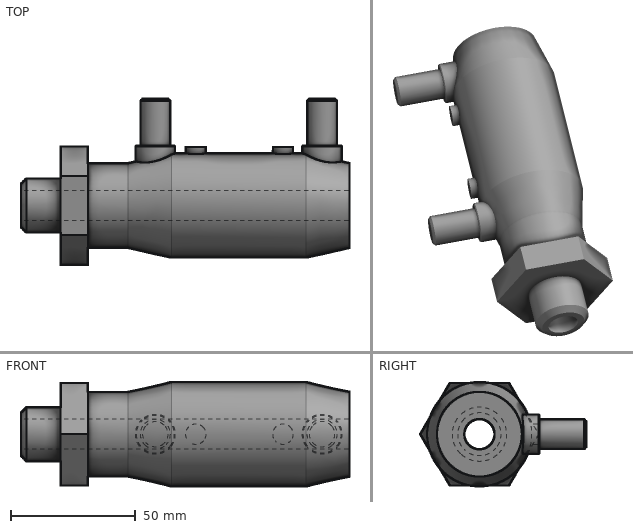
import cadquery as cq
import math

total_length = 132.0
stub_length = 16.0
hex_thickness = 11.0
body_taper_start = 43.0
barrel_start = 60.5
barrel_end = 114.5

stub_diameter = 21.8
stub_chamfer = 2.2
neck_diameter = 34.0
barrel_diameter = 42.0
bore_diameter = 12.0
hex_across_flats = 41.2

pin_diameter = 12.0
pin_tip = 42.9
pin_chamfer = 0.9
collar_diameter = 16.0
collar_top = 24.0
collar_chamfer = 0.4
pin_positions = (54.0, 120.9)
boss_diameter = 8.2
boss_top = 23.5
boss_positions = (70.2, 105.2)

stub_radius = stub_diameter / 2
neck_radius = neck_diameter / 2
barrel_radius = barrel_diameter / 2


def turned_body():
    """Revolve the stub, neck, barrel and end taper about the X axis."""
    profile = (
        cq.Workplane("XY")
        .moveTo(0, 0)
        .lineTo(0, stub_radius - stub_chamfer)
        .lineTo(stub_chamfer, stub_radius)
        .lineTo(stub_length, stub_radius)
        .lineTo(stub_length, neck_radius)
        .lineTo(body_taper_start, neck_radius)
        .lineTo(barrel_start, barrel_radius)
        .lineTo(barrel_end, barrel_radius)
        .lineTo(total_length, neck_radius)
        .lineTo(total_length, 0)
        .close()
    )
    return profile.revolve(360, (0, 0, 0), (1, 0, 0))


def hexagon_flange():
    """Hexagon with corners on the Y axis and flats facing up and down."""
    across_corners = hex_across_flats / math.cos(math.radians(30))
    return (
        cq.Workplane("YZ", origin=(stub_length, 0, 0))
        .polygon(6, across_corners)
        .extrude(hex_thickness)
    )


def side_cylinder(x, diameter, top, chamfer=0):
    """Cylinder from the main axis out to the given Y, optionally chamfered at its tip."""
    cylinder = cq.Workplane("XZ", origin=(x, 0, 0)).circle(diameter / 2).extrude(-top)
    if chamfer:
        cylinder = cylinder.faces(">Y").chamfer(chamfer)
    return cylinder


result = turned_body().union(hexagon_flange())

for pin_x in pin_positions:
    result = result.union(side_cylinder(pin_x, collar_diameter, collar_top, collar_chamfer))
    result = result.union(side_cylinder(pin_x, pin_diameter, pin_tip, pin_chamfer))

for boss_x in boss_positions:
    result = result.union(side_cylinder(boss_x, boss_diameter, boss_top))

bore = cq.Workplane("YZ").circle(bore_diameter / 2).extrude(total_length)
result = result.cut(bore)